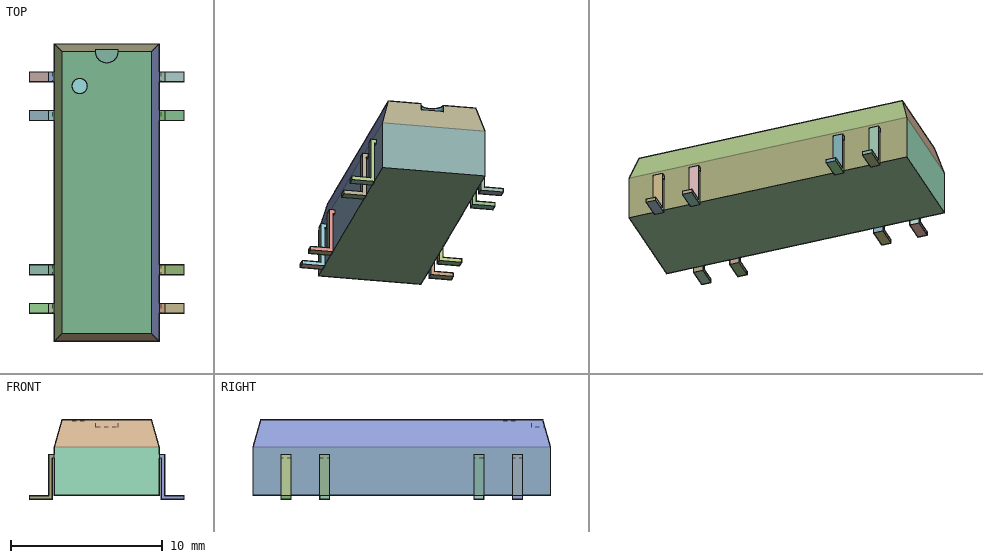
import cadquery as cq

housing_length = 19.6
housing_width = 6.92
housing_bottom = 0.27
shoulder_height = 3.45
housing_top = 5.25
top_inset = 0.5

notch_radius = 0.75
notch_depth = 0.49

marker_diameter = 1.0
marker_thickness = 0.1
marker_x = -1.78
marker_y = 7.02

lead_span = 10.2
lead_width = 0.67
lead_thickness = 0.25
lead_top = 2.98
lead_gap = 0.12
lead_pitch = 2.55
outer_lead_y = 7.62

top_edge_y = housing_length / 2 - top_inset
inner_lead_y = outer_lead_y - lead_pitch
lead_rows = [-outer_lead_y, -inner_lead_y, inner_lead_y, outer_lead_y]


def make_marker():
    """Disc that fills the round recess in the top face."""
    return (
        cq.Workplane("XY", origin=(marker_x, marker_y, housing_top - marker_thickness))
        .circle(marker_diameter / 2)
        .extrude(marker_thickness)
    )


def make_notch_cutter():
    """Round-ended slot that runs out through the sloping +Y face."""
    floor = cq.Workplane("XY", origin=(0, top_edge_y, housing_top - notch_depth))
    round_end = floor.circle(notch_radius).extrude(notch_depth)
    open_end = floor.rect(2 * notch_radius, 2 * top_inset).extrude(notch_depth)
    open_end = open_end.translate((0, top_inset, 0))
    return round_end.union(open_end)


def make_housing():
    """Straight-sided base with a tapered upper part, a notch and a marker recess."""
    base = (
        cq.Workplane("XY", origin=(0, 0, housing_bottom))
        .rect(housing_width, housing_length)
        .extrude(shoulder_height - housing_bottom)
    )
    tapered_top = (
        cq.Workplane("XY", origin=(0, 0, shoulder_height))
        .rect(housing_width, housing_length)
        .workplane(offset=housing_top - shoulder_height)
        .rect(housing_width - 2 * top_inset, housing_length - 2 * top_inset)
        .loft(ruled=True)
    )
    return base.union(tapered_top).cut(make_notch_cutter()).cut(make_marker())


def make_lead(side, y):
    """Bent lead on the +X side (side = 1) or -X side (side = -1), centred at y."""
    wall_x = housing_width / 2
    inner_x = wall_x + lead_gap
    outer_x = inner_x + lead_thickness
    tip_x = lead_span / 2
    profile = [
        (wall_x, lead_top),
        (outer_x, lead_top),
        (outer_x, lead_thickness),
        (tip_x, lead_thickness),
        (tip_x, 0),
        (inner_x, 0),
        (inner_x, lead_top - lead_thickness),
        (wall_x, lead_top - lead_thickness),
    ]
    return (
        cq.Workplane("XZ", origin=(0, y, 0))
        .polyline([(side * x, z) for x, z in profile])
        .close()
        .extrude(lead_width / 2, both=True)
    )


housing = make_housing()
marker = make_marker()
leads = [make_lead(side, y) for side in (-1, 1) for y in lead_rows]

result = cq.Compound.makeCompound([housing.val(), marker.val(), *[lead.val() for lead in leads]])